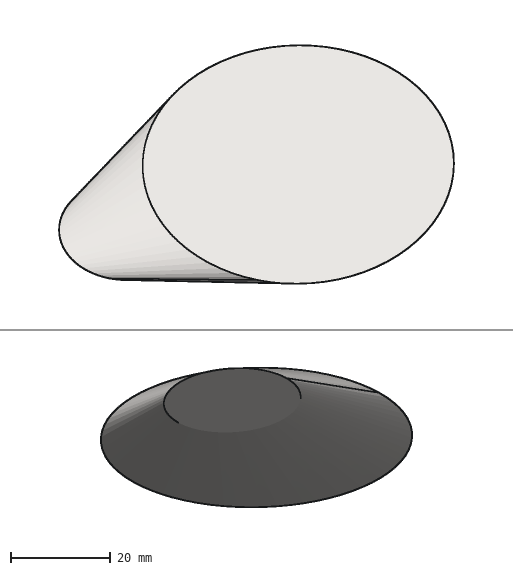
import cadquery as cq
import math

overall_size = 70.5
overall_height = 10.9
top_radius = 31.45
bottom_radius = 13.8
side_count = 72

top_slope_x = 0.017
top_slope_y = -0.0045
bottom_slope_x = 0.034
bottom_slope_y = -0.044

top_center = overall_size - top_radius
bottom_center = bottom_radius
top_center_z = overall_height - top_radius * math.hypot(top_slope_x, top_slope_y)
bottom_center_z = bottom_radius * math.hypot(bottom_slope_x, bottom_slope_y)


def end_outline(radius, center, center_z, slope_x, slope_y):
    """Many-sided outline, round from above, lying in a tilted plane."""
    corners = []
    for i in range(side_count):
        angle = 2 * math.pi * i / side_count
        dx = radius * math.cos(angle)
        dy = radius * math.sin(angle)
        dz = slope_x * dx + slope_y * dy
        corners.append(cq.Vector(center + dx, center + dy, center_z + dz))
    return cq.Wire.makePolygon(corners, close=True)


bottom_outline = end_outline(
    bottom_radius, bottom_center, bottom_center_z, bottom_slope_x, bottom_slope_y
)
top_outline = end_outline(top_radius, top_center, top_center_z, top_slope_x, top_slope_y)

body = cq.Solid.makeLoft([bottom_outline, top_outline], True)
result = cq.Workplane("XY").newObject([body])